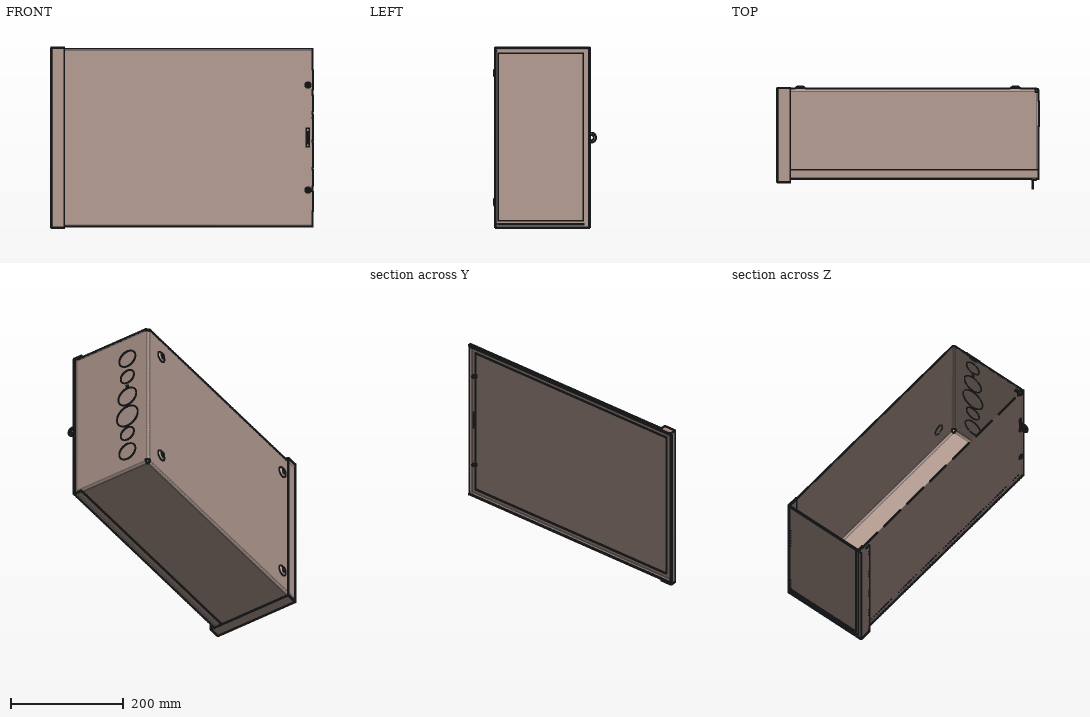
import cadquery as cq

sheet = 1.9
bend = 4.6

hood_width = 320.68
hood_depth = 168.27
hood_skirt = 23.8
hood_bend = 2.8
hood_notch = 1.5
hood_back = 1.6
hood_front = hood_back - hood_depth

door_width = 315.0
door_front = -160.5
door_skirt = 17.0
door_bend = 3.2
door_start = 4.0

box_start = sheet
box_end = 463.55
box_width = door_width - 2 * sheet
box_front = door_front + sheet
relief_size = 6.0
lip_width = 12.5

panel_back = -3.8
panel_front = -154.4
panel_top = 149.7
panel_bottom = -146.9
seam_z = -153.3
seam_width = 1.5
seam_back = -4.5
seam_front = -155.5

boss_base_diameter = 20.0
boss_top_diameter = 9.53
boss_height = 3.5
boss_x = (41.3, 422.3)
boss_z = (-114.3, 114.3)

knockout_height = 0.77
knockout_y = -44.45
knockouts = (
    (34.5, 102.1),
    (28.2, 60.6),
    (4.19, 38.4),
    (38.1, 14.6),
    (44.45, -30.7),
    (28.2, -71.4),
    (34.5, -112.8),
)

screw_x = 455.2
screw_z = (-93.0, 93.0)
head_diameter = 9.75
head_height = 2.6
recess_diameter = 3.17
recess_depth = 1.5
shank_diameter = 4.19
shank_length = 12.0

total_depth = 180.96
hasp_tip = boss_height - total_depth
hasp_diameter = 18.0
hasp_hole_diameter = 9.53
hasp_eye_y = hasp_tip + hasp_diameter / 2
hasp_x = 452.4
foot_length = 4.0
foot_width = 21.0
slot_length = 33.0
slot_width = 4.6


def block(x0, x1, y0, y1, width):
    """Block between two X and two Y positions, centred on Z = 0."""
    return cq.Workplane("XY").box(x1 - x0, y1 - y0, width).translate(((x0 + x1) / 2, (y0 + y1) / 2, 0))


def cylinder_y(diameter, x, z, y, length):
    """Cylinder that starts at y and runs toward -Y."""
    return cq.Workplane("XZ", origin=(x, y, z)).circle(diameter / 2).extrude(length)


def cone_y(base_diameter, top_diameter, height, x, z, y):
    """Truncated cone standing on the plane at y and narrowing toward +Y."""
    cone = cq.Solid.makeCone(
        base_diameter / 2, top_diameter / 2, height,
        pnt=cq.Vector(x, y, z), dir=cq.Vector(0, 1, 0),
    )
    return cq.Workplane(obj=cone)


def dome_y(diameter, height, x, z, y):
    """Spherical cap standing on the plane at y and bulging toward -Y."""
    sphere_radius = ((diameter / 2) ** 2 + height**2) / (2 * height)
    sphere = cq.Workplane("XY").sphere(sphere_radius).translate((x, y - height + sphere_radius, z))
    return sphere.intersect(cylinder_y(diameter, x, z, y, height))


def screw_shank(z):
    """Shank of one screw, from the door front inward."""
    return cylinder_y(shank_diameter, screw_x, z, door_front + shank_length, shank_length)


def cut_screw_holes(body):
    for z in screw_z:
        body = body.cut(screw_shank(z))
    return body


def make_hood(end_panel):
    hood = block(0, hood_skirt, hood_front, hood_back, hood_width)
    hood = hood.faces("<X").edges().fillet(hood_bend)
    cavity = block(sheet, hood_skirt, hood_front + sheet, 0, hood_width - 2 * sheet)
    hood = hood.cut(cavity)
    notch = cq.Workplane("XY").box(2 * hood_skirt, hood_notch, hood_notch)
    notch_z = (hood_width - hood_notch) / 2
    for y in (hood_front + hood_notch / 2, hood_back - hood_notch / 2):
        for z in (-notch_z, notch_z):
            hood = hood.cut(notch.translate((0, y, z)))

    seam = cq.Workplane("XY").box(sheet, seam_back - seam_front, seam_width)
    hood = hood.cut(seam.translate((sheet / 2, (seam_back + seam_front) / 2, seam_z)))

    return hood.cut(end_panel)


def make_door():
    door = block(door_start, box_end, door_front, door_front + door_skirt, door_width)
    door = door.faces("<Y").edges("|X").fillet(door_bend)
    inside = block(door_start, box_end, box_front, 0, box_width)
    door = door.cut(inside.faces("<Y").edges("|X").fillet(door_bend - sheet))
    slot = block(hasp_x, hasp_x + slot_width, door_front, box_front, slot_length)
    return cut_screw_holes(door.cut(slot))


def make_end_panel():
    panel = cq.Workplane("XY").box(
        sheet, panel_back - panel_front, panel_top - panel_bottom, centered=(False, False, False)
    )
    return panel.translate((0, panel_front, panel_bottom))


def make_box():
    box = block(box_start, box_end, box_front, 0, box_width).edges("not(<X)").fillet(bend)
    cavity = block(box_start + sheet, box_end - sheet, box_front + sheet, -sheet, box_width - 2 * sheet)
    box = box.cut(cavity.edges("not(<X)").fillet(bend - sheet))
    opening = block(
        box_start + lip_width, box_end - lip_width, box_front, box_front + sheet, box_width - 2 * lip_width
    )
    box = box.cut(opening)

    relief = cq.Workplane("XY").box(relief_size, relief_size, relief_size)
    relief_z = (box_width - relief_size) / 2
    for z in (-relief_z, relief_z):
        box = box.cut(relief.translate((box_end - relief_size / 2, -relief_size / 2, z)))

    for x in boss_x:
        for z in boss_z:
            box = box.union(cone_y(boss_base_diameter, boss_top_diameter, boss_height, x, z, 0))

    for diameter, z in knockouts:
        knockout = cq.Workplane("YZ", origin=(box_end, knockout_y, z)).circle(diameter / 2)
        box = box.union(knockout.extrude(knockout_height))

    return cut_screw_holes(box)


def make_hasp():
    blade = block(hasp_x, hasp_x + sheet, hasp_eye_y, box_front, hasp_diameter)
    eye = cq.Workplane("YZ", origin=(hasp_x, hasp_eye_y, 0)).circle(hasp_diameter / 2).extrude(sheet)
    hole = cq.Workplane("YZ", origin=(hasp_x, hasp_eye_y, 0)).circle(hasp_hole_diameter / 2).extrude(sheet)
    foot = block(hasp_x, hasp_x + foot_length, door_front, box_front, foot_width)
    return blade.union(eye).union(foot).cut(hole)


def make_screw(z):
    head = dome_y(head_diameter, head_height, screw_x, z, door_front)
    head_top = door_front - head_height
    recess = cylinder_y(recess_diameter, screw_x, z, head_top + recess_depth, recess_depth)
    return head.union(screw_shank(z)).cut(recess)


end_panel = make_end_panel()
hood = make_hood(end_panel)
door = make_door()
box = make_box()
hasp = make_hasp()
screws = [make_screw(z) for z in screw_z]

result = cq.Compound.makeCompound(
    [hood.val(), door.val(), end_panel.val(), box.val(), hasp.val(), *[screw.val() for screw in screws]]
)